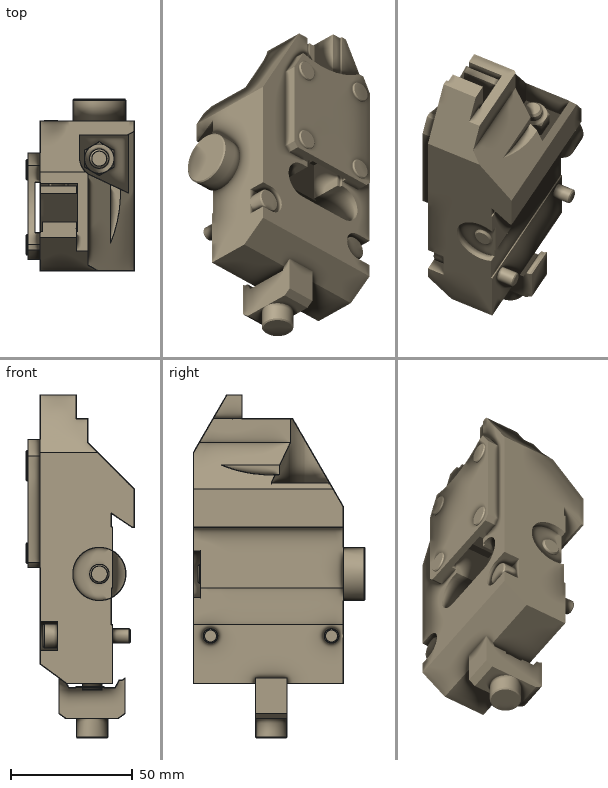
import math

import cadquery as cq

AXIS_X = (1, 0, 0)
AXIS_Y = (0, 1, 0)
AXIS_Z = (0, 0, 1)
MINUS_X = (-1, 0, 0)
MINUS_Y = (0, -1, 0)
MINUS_Z = (0, 0, -1)

body_width = 62.0
body_depth = 30.0
hook_depth = 39.0
body_top = 119.3
shoulder_z = 109.5
finger_depth = 15.0
rear_wall_depth = 19.8
hook_top_z = 80.4
hook_bottom_z = 64.6
hook_lip = 1.0
relief_depth = 0.5
relief_top_z = 70.3
upper_pad_top = 64.8
upper_pad_bottom = 39.4
lower_pad_top = 24.4
foot_chamfer_x = 11.0
foot_chamfer_z = 8.1
roof_slope = math.tan(math.radians(60))
front_eave_z = 95.4
rear_eave_z = 73.1
front_ridge_y = (body_top - front_eave_z) / roof_slope
rear_ridge_y = body_width - (shoulder_z - rear_eave_z) / roof_slope

channel_front_y = 16.2
channel_width = 20.0
channel_rear_y = channel_front_y + channel_width
channel_depth = 15.5
jaw_bottom_z = 62.0
finger_setback = 1.0
finger_rear_y = 20.2
guide_strip_width = 1.4
slider_gap = 1.1
slider_width = 3.1
slider_top_z = 107.4
slider_pin_diameter = 8.0
slider_pin_x = 7.6
slider_pin_z = 96.3

slot_length = 40.0
slot_height = 16.0
slot_depth = 18.0
slot_center_y = 27.1
slot_center_z = 37.4

plate_thickness = 5.0
plate_front_y = 4.7
plate_rear_y = 48.8
plate_bottom_z = 47.9
plate_corner = 2.1
plate_front_shoulder = (plate_front_y, 94.1)
plate_front_tip = (8.6, 100.9)
plate_arc_start = (10.9, 100.9)
plate_arc_middle = (31.0, 94.6)
plate_arc_end = (43.5, 96.2)
plate_rear_shoulder = (plate_rear_y, 86.8)
plate_groove_depth = 2.0
plate_groove_width = 20.8
plate_screw_diameter = 8.5
plate_screw_height = 0.8
plate_screw_front_y = 10.8
plate_screw_rear_y = 41.8
plate_screw_low_z = 53.9
plate_screw_front_top_z = 92.0
plate_screw_rear_top_z = 88.0
plate_screw_positions = [
    (plate_screw_front_y, plate_screw_low_z),
    (plate_screw_rear_y, plate_screw_low_z),
    (plate_screw_front_y, plate_screw_front_top_z),
    (plate_screw_rear_y, plate_screw_rear_top_z),
]

mount_screw_front_y = 7.1
mount_screw_spacing = 50.0
mount_screw_z = 19.7
mount_slot_width = 12.0
mount_slot_depth = 7.3
mount_head_diameter = 10.0
mount_head_height = 6.0
mount_shank_diameter = 6.0
mount_shank_reach = 7.3

spindle_x = 24.5
spindle_z = 45.3
knob_diameter = 22.0
knob_height = 9.0
recess_depth = 3.0
spindle_diameter = 8.0
spindle_reach = 1.1
spindle_chamfer = 0.7

pocket_min_x = 16.3
pocket_max_x = 36.5
pocket_rear_y = 56.1
pocket_knee = (20.0, 40.0)
pocket_arc_middle = (17.4, 42.8)
pocket_arc_end_y = 46.0
pocket_front_y = 32.2
pocket_floor_z = 72.0
nut_x = 24.45
nut_y = 46.4
nut_across_flats = 12.1
nut_height = 6.5
nut_corner_chamfer = 0.9
stud_diameter = 8.0
stud_height = 10.0
stud_chamfer = 0.9

clearance_x = 29.1
clearance_radius = 54.0
clearance_center_y = 32.2
clearance_bottom_z = 86.2

clamp_min_x = 7.8
clamp_max_x = 35.1
clamp_top_z = 2.3
clamp_bottom_z = -14.5
clamp_floor_z = -1.7
clamp_width = 13.2
clamp_center_y = 32.2
clamp_ledge_z = 1.4
clamp_tip_width = 1.2
clamp_ledge_width = 1.3
clamp_flank_width = 1.6
clamp_chamfer_x = 2.9
clamp_chamfer_z = 2.1
clamp_bolt_x = 21.5
clamp_bolt_diameter = 8.0
clamp_head_diameter = 13.0
total_height = 141.86
clamp_head_bottom_z = body_top - total_height
clamp_notch_depth = 1.0
clamp_pad_diameter = 11.7
clamp_pad_x = 20.6
clamp_pad_height = 0.4

screw_chamfer = 0.4
small_chamfer = 0.5


def box(x_min, x_max, y_min, y_max, z_min, z_max):
    """Axis-aligned box between two opposite corners."""
    size = (x_max - x_min, y_max - y_min, z_max - z_min)
    return cq.Workplane().box(*size, centered=False).translate((x_min, y_min, z_min))


def rod(start, direction, diameter, length, chamfer=0.0):
    """Round rod from a start point, with an optional chamfer on its far end."""
    plane = cq.Plane(origin=start, normal=direction)
    solid = cq.Workplane(plane).circle(diameter / 2).extrude(length)
    if chamfer:
        far_edge = solid.edges(cq.selectors.DirectionMinMaxSelector(cq.Vector(direction), True))
        solid = far_edge.chamfer(chamfer)
    return solid


def make_body():
    """Hooked side profile trimmed by the two sloped roofs and the shoulder."""
    relief_x = body_depth - relief_depth
    profile = [
        (0, foot_chamfer_z),
        (0, body_top),
        (finger_depth, body_top),
        (finger_depth, shoulder_z),
        (rear_wall_depth, shoulder_z),
        (rear_wall_depth, hook_top_z + hook_depth - rear_wall_depth),
        (hook_depth, hook_top_z),
        (hook_depth, hook_bottom_z),
        (hook_depth - hook_lip, hook_bottom_z),
        (relief_x, relief_top_z),
        (relief_x, upper_pad_top),
        (body_depth, upper_pad_top),
        (body_depth, upper_pad_bottom),
        (relief_x, upper_pad_bottom),
        (relief_x, lower_pad_top),
        (body_depth, lower_pad_top),
        (body_depth, 0),
        (foot_chamfer_x, 0),
    ]
    side = cq.Workplane("XZ").polyline(profile).close().extrude(-body_width)
    outline = [
        (0, 0),
        (0, front_eave_z),
        (front_ridge_y, body_top),
        (channel_front_y, body_top),
        (channel_front_y, shoulder_z),
        (rear_ridge_y, shoulder_z),
        (body_width, rear_eave_z),
        (body_width, 0),
    ]
    return side.intersect(cq.Workplane("YZ").polyline(outline).close().extrude(hook_depth))


def cut_channel_and_slot(body):
    """Obround slot in the mounting face with a channel running up from it."""
    slot = (
        cq.Workplane("YZ")
        .center(slot_center_y, slot_center_z)
        .slot2D(slot_length, slot_height)
        .extrude(slot_depth)
    )
    channel = box(0, channel_depth, channel_front_y, channel_rear_y, slot_center_z, body_top)
    return body.cut(slot).cut(channel)


def make_jaw():
    """Finger on the front channel wall, and a slider pinned to the rear wall."""
    finger = box(finger_setback, finger_depth, channel_front_y, finger_rear_y, jaw_bottom_z, body_top)
    strip_rear_y = channel_front_y + guide_strip_width
    strip_bottom_z = slot_center_z + slot_height / 2
    strip = box(finger_setback, finger_depth, channel_front_y, strip_rear_y, strip_bottom_z, jaw_bottom_z)
    slider_rear_y = channel_rear_y - slider_gap
    slider_front_y = slider_rear_y - slider_width
    slider = box(0, finger_depth, slider_front_y, slider_rear_y, jaw_bottom_z, slider_top_z)
    pin_start = (slider_pin_x, slider_rear_y, slider_pin_z)
    pin = rod(pin_start, AXIS_Y, slider_pin_diameter, slider_gap)
    return finger.union(strip).union(slider.union(pin))


def make_plate():
    """Cover plate with a concave top edge, a groove on its back and four screw heads."""
    plate = (
        cq.Workplane("YZ", origin=(-plate_thickness, 0, 0))
        .moveTo(plate_front_y + plate_corner, plate_bottom_z)
        .lineTo(plate_front_y, plate_bottom_z + plate_corner)
        .lineTo(*plate_front_shoulder)
        .lineTo(*plate_front_tip)
        .lineTo(*plate_arc_start)
        .threePointArc(plate_arc_middle, plate_arc_end)
        .lineTo(*plate_rear_shoulder)
        .lineTo(plate_rear_y, plate_bottom_z + plate_corner)
        .lineTo(plate_rear_y - plate_corner, plate_bottom_z)
        .close()
        .extrude(plate_thickness)
    )
    groove_center_y = channel_front_y + channel_width / 2
    groove_front_y = groove_center_y - plate_groove_width / 2
    groove_rear_y = groove_center_y + plate_groove_width / 2
    plate = plate.cut(box(-plate_groove_depth, 0, groove_front_y, groove_rear_y, 0, body_top))
    for y, z in plate_screw_positions:
        seat = (-plate_thickness, y, z)
        plate = plate.union(rod(seat, MINUS_X, plate_screw_diameter, plate_screw_height, screw_chamfer))
    return plate


def add_mount_screw(body, screw_y, open_side_y):
    """Counterbore open to one side of the body, with its cap screw."""
    axis_start = (0, screw_y, mount_screw_z)
    half_width = mount_slot_width / 2
    slot_bottom_z = mount_screw_z - half_width
    slot_top_z = mount_screw_z + half_width
    slot_y_range = sorted((screw_y, open_side_y))
    body = body.cut(rod(axis_start, AXIS_X, mount_slot_width, mount_slot_depth))
    body = body.cut(box(0, mount_slot_depth, *slot_y_range, slot_bottom_z, slot_top_z))
    head_start = (mount_slot_depth, screw_y, mount_screw_z)
    head = rod(head_start, MINUS_X, mount_head_diameter, mount_head_height, small_chamfer)
    shank_length = body_depth + mount_shank_reach - mount_slot_depth
    shank = rod(head_start, AXIS_X, mount_shank_diameter, shank_length, small_chamfer)
    return body.union(head).union(shank)


def add_spindle(body):
    """Knob on the rear side, and a round recess with the spindle end in front."""
    recess = rod((spindle_x, 0, spindle_z), AXIS_Y, knob_diameter, recess_depth)
    spindle_start = (spindle_x, recess_depth, spindle_z)
    spindle = rod(spindle_start, MINUS_Y, spindle_diameter, spindle_reach, spindle_chamfer)
    knob = rod((spindle_x, body_width, spindle_z), AXIS_Y, knob_diameter, knob_height, small_chamfer)
    return body.cut(recess).union(spindle).union(knob)


def add_nut_pocket(body):
    """Vertical pocket in the sloped face holding a stud and a hexagon nut."""
    pocket = (
        cq.Workplane("XY", origin=(0, 0, pocket_floor_z))
        .moveTo(pocket_min_x, pocket_rear_y)
        .lineTo(pocket_max_x, pocket_rear_y)
        .lineTo(pocket_max_x, pocket_front_y)
        .lineTo(*pocket_knee)
        .threePointArc(pocket_arc_middle, (pocket_min_x, pocket_arc_end_y))
        .close()
        .extrude(body_top - pocket_floor_z)
    )
    nut_across_corners = nut_across_flats / math.cos(math.radians(30))
    nut = (
        cq.Workplane("XY")
        .polygon(6, nut_across_corners)
        .extrude(nut_height)
        .rotate((0, 0, 0), AXIS_Z, 30)
        .translate((nut_x, nut_y, pocket_floor_z))
    )
    nut_blank = rod((nut_x, nut_y, pocket_floor_z), AXIS_Z, nut_across_corners, nut_height, nut_corner_chamfer)
    nut = nut.intersect(nut_blank)
    stud = rod((nut_x, nut_y, pocket_floor_z), AXIS_Z, stud_diameter, stud_height, stud_chamfer)
    return body.cut(pocket).union(nut).union(stud)


def cut_clearance(body):
    """Large-radius cylindrical cut across the outer part of the slope."""
    center = (clearance_x, clearance_center_y, clearance_bottom_z + clearance_radius)
    cut_length = hook_depth - clearance_x
    return body.cut(rod(center, AXIS_X, 2 * clearance_radius, cut_length))


def make_clamp():
    """Bottom clamp cradle with its bolt."""
    clamp_front_y = clamp_center_y - clamp_width / 2
    ledge_inner = clamp_tip_width + clamp_ledge_width
    floor_inset = ledge_inner + clamp_flank_width
    profile = [
        (clamp_min_x, clamp_top_z),
        (clamp_min_x + clamp_tip_width, clamp_ledge_z),
        (clamp_min_x + ledge_inner, clamp_ledge_z),
        (clamp_min_x + floor_inset, clamp_floor_z),
        (clamp_max_x - floor_inset, clamp_floor_z),
        (clamp_max_x - ledge_inner, clamp_ledge_z),
        (clamp_max_x - clamp_tip_width, clamp_ledge_z),
        (clamp_max_x, clamp_top_z),
        (clamp_max_x, clamp_bottom_z + clamp_chamfer_z),
        (clamp_max_x - clamp_chamfer_x, clamp_bottom_z),
        (clamp_min_x + clamp_chamfer_x, clamp_bottom_z),
        (clamp_min_x, clamp_bottom_z + clamp_chamfer_z),
    ]
    clamp = (
        cq.Workplane("XZ", origin=(0, clamp_front_y, 0))
        .polyline(profile)
        .close()
        .extrude(-clamp_width)
    )
    pad_start = (clamp_pad_x, clamp_center_y, clamp_floor_z)
    clamp = clamp.union(rod(pad_start, AXIS_Z, clamp_pad_diameter, clamp_pad_height))
    bolt_radius = clamp_bolt_diameter / 2
    notch_bottom_z = clamp_floor_z - clamp_notch_depth
    notch = box(
        clamp_bolt_x - bolt_radius,
        clamp_bolt_x + bolt_radius,
        clamp_front_y,
        clamp_center_y,
        notch_bottom_z,
        clamp_floor_z,
    )
    bolt_start = (clamp_bolt_x, clamp_center_y, 0)
    bolt = rod(bolt_start, MINUS_Z, clamp_bolt_diameter, -notch_bottom_z, screw_chamfer)
    head_start = (clamp_bolt_x, clamp_center_y, clamp_bottom_z)
    head_height = clamp_bottom_z - clamp_head_bottom_z
    head = rod(head_start, MINUS_Z, clamp_head_diameter, head_height, small_chamfer)
    return clamp.cut(notch).union(bolt).union(head)


part = cut_channel_and_slot(make_body())
part = part.union(make_jaw())
part = cut_clearance(part)
part = add_nut_pocket(part)
part = add_spindle(part)
part = add_mount_screw(part, mount_screw_front_y, 0)
part = add_mount_screw(part, mount_screw_front_y + mount_screw_spacing, body_width)
part = part.union(make_plate())
result = part.union(make_clamp())